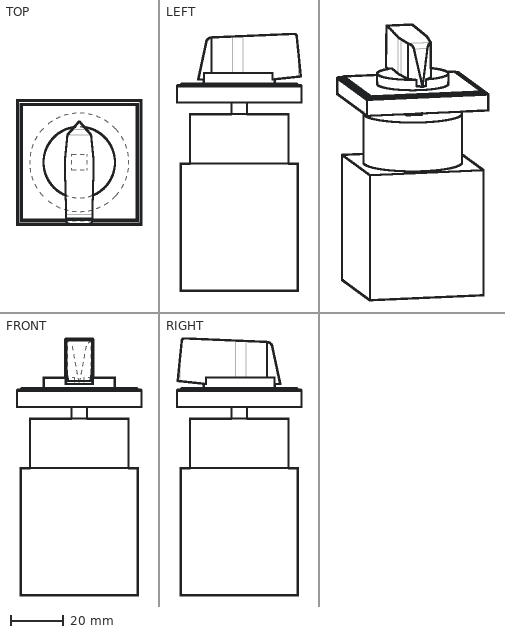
import cadquery as cq

panel_width = 45.0
housing_height = 48.9
collar_diameter = 38.0
collar_top = 67.9
shaft_width = 6.0

bezel_width = 48.0
bezel_bottom = 72.3
bezel_top = 79.1
edge_chamfer = 0.5
label_thickness = 0.5
label_top = bezel_top + label_thickness

base_diameter = 27.4
base_top = 83.6
knob_top = 98.7

tip_y = 15.8
nose_y = 10.6
nose_half_width = 4.5
bulge_front_y = 2.6
bulge_front_half_width = 5.3
bulge_rear_y = -1.4
bulge_rear_half_width = 5.5
bulge_middle_half_width = 5.5
tail_y = -23.7
tail_half_width = 4.9
tail_corner_radius = 0.9

handle_bottom = 81.1
underside_break_y = -12.6
tail_bottom = 82.3
nose_top_y = 12.3
nose_top = 97.3
nose_top_radius = 2.4
ridge_front_y = -19.9
ridge_rear_y = -21.6
tail_top_y = -22.1
tail_top = 97.9


def square_block(width, bottom, top):
    return cq.Workplane("XY").workplane(offset=bottom).rect(width, width).extrude(top - bottom)


def disc(diameter, bottom, top):
    return cq.Workplane("XY").workplane(offset=bottom).circle(diameter / 2).extrude(top - bottom)


def handle_plan():
    """Vertical-walled handle outline: pointed nose, gently bulged sides, rounded tail corners."""
    bulge_middle_y = (bulge_front_y + bulge_rear_y) / 2
    return (
        cq.Workplane("XY")
        .workplane(offset=handle_bottom)
        .moveTo(0, tip_y)
        .lineTo(nose_half_width, nose_y)
        .lineTo(bulge_front_half_width, bulge_front_y)
        .threePointArc((bulge_middle_half_width, bulge_middle_y), (bulge_rear_half_width, bulge_rear_y))
        .lineTo(tail_half_width, tail_y)
        .lineTo(-tail_half_width, tail_y)
        .lineTo(-bulge_rear_half_width, bulge_rear_y)
        .threePointArc((-bulge_middle_half_width, bulge_middle_y), (-bulge_front_half_width, bulge_front_y))
        .lineTo(-nose_half_width, nose_y)
        .close()
        .extrude(knob_top - handle_bottom)
        .edges("|Z and <Y")
        .fillet(tail_corner_radius)
    )


def handle_profile():
    """Side profile of the handle with sloping ends, top and underside."""
    corners = [
        (tip_y, handle_bottom),
        (nose_top_y, nose_top),
        (ridge_front_y, knob_top),
        (ridge_rear_y, knob_top),
        (tail_top_y, tail_top),
        (tail_y, tail_bottom),
        (underside_break_y, handle_bottom),
    ]
    nose_edge = cq.selectors.NearestToPointSelector((0, nose_top_y, nose_top))
    return (
        cq.Workplane("YZ")
        .polyline(corners)
        .close()
        .extrude(base_diameter / 2, both=True)
        .edges("|X")
        .edges(nose_edge)
        .fillet(nose_top_radius)
    )


def make_knob():
    handle = handle_plan().intersect(handle_profile())
    return disc(base_diameter, label_top, base_top).union(handle)


housing = square_block(panel_width, 0, housing_height)
collar = disc(collar_diameter, housing_height, collar_top)
shaft = square_block(shaft_width, collar_top, bezel_bottom)
bezel = square_block(bezel_width, bezel_bottom, bezel_top).faces(">Z").chamfer(edge_chamfer)


def make_label():
    """Thin label plate whose sides slope inward over its full thickness."""
    top_width = panel_width - 2 * edge_chamfer
    return (
        cq.Workplane("XY")
        .workplane(offset=bezel_top)
        .rect(panel_width, panel_width)
        .workplane(offset=label_thickness)
        .rect(top_width, top_width)
        .loft(ruled=True)
    )


label = make_label()
knob = make_knob()

result = cq.Compound.makeCompound(
    [housing.val(), collar.val(), shaft.val(), bezel.val(), label.val(), *knob.solids().vals()]
)